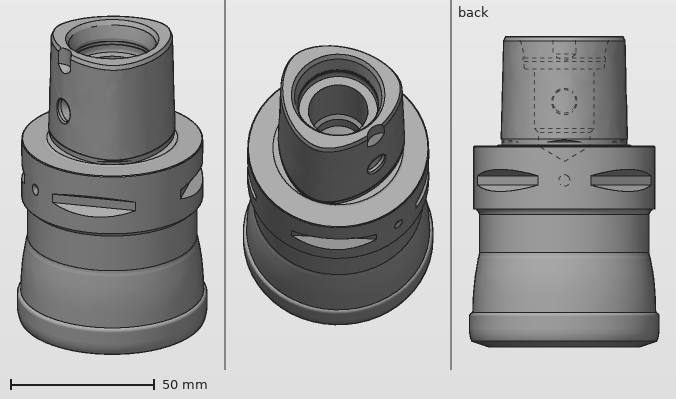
import cadquery as cq
import math


shank_top = 38.0
shank_bottom = 2.4
shank_mean_radius = 22.0
lobe_height = 1.4
shank_taper = 1 / 40
lobe_angle = math.radians(90)
outline_points = 36
rim_height = 1.5
rim_inset = 0.7

neck_inset = 0.25
neck_lobe_radius = 22.45
neck_lobe_top = 1.3
neck_flare_height = 0.7
step_height = 0.4
step_top_radius = 22.7
step_base_radius = 24.3
step_mid_radius = 23.2
step_mid_z = 0.1

flange_radius = 31.5
flange_edge_chamfer = 0.3
flange_bottom = -22.0
body_radius = 59 / 2
body_fillet_radius = 30.7
body_fillet_mid_radius = 29.9
body_fillet_bottom = -23.8
body_bottom = -37.1

slot_z = -12.0
slot_count = 4
slot_floor_radius = 27.8
slot_floor_height = 3.2
slot_mouth_height = 7.7
dimple_diameter = 4.0
dimple_depth = 1.2

bore_mouth_radius = 16.25
bore_mouth_depth = 1.6
bore_top_radius = 15.2
seat_radius = 28.02 / 2
seat_top = 31.8
groove_radius = 14.4
groove_top = 30.6
groove_bottom = 29.4
seat_fillet_top = 28.3
seat_bottom_radius = 13.7
seat_floor = 26.7
seat_mid_radius = 13.95
seat_mid_z = 27.3
channel_radius = 10.3
channel_bottom = 6.0
tip_radius = 18 / 2
tip_top = channel_bottom - (channel_radius - tip_radius)
tip_bottom = 0.0
drill_point_angle = math.radians(118)

side_hole_z = 15.5
side_hole_radius = 8.1 / 2
side_hole_mouth = 0.6
side_hole_end = -18.5
notch_radius = 5.0
notch_center_y = -22.6
notch_floor = 31.9
notch_cone_slope = 0.9

nut_lip_radius = 29.65
nut_lip_bottom = -38.15
nut_flare_radius = 29.95
nut_flare_top = -39.2
nut_waist_radius = 63.72 / 2
collar_top = -57.9
collar_radius = 66 / 2
collar_shoulder_mid_radius = 32.6
collar_shoulder_mid_z = -58.3
collar_shoulder_bottom = -59.2
collar_straight_end = -64.0
collar_corner_radius = 32.2
collar_corner_z = -67.9
nose_radius = 26.0
nut_bottom = -70.0


def lobed_wire(mean_radius, z):
    """Closed outline of constant width whose distance from the axis varies with three lobes."""
    def point(turn):
        phase = 3 * (turn - lobe_angle)
        reach = mean_radius + lobe_height * math.cos(phase)
        slide = -3 * lobe_height * math.sin(phase)
        return (
            reach * math.cos(turn) - slide * math.sin(turn),
            reach * math.sin(turn) + slide * math.cos(turn),
            z,
        )

    step = 2 * math.pi / outline_points
    points = [cq.Vector(*point(step * index)) for index in range(outline_points)]
    return cq.Wire.assembleEdges([cq.Edge.makeSpline(points, periodic=True)])


def lobed_frustum(low_radius, low_z, high_radius, high_z):
    wires = [lobed_wire(low_radius, low_z), lobed_wire(high_radius, high_z)]
    return cq.Workplane(cq.Solid.makeLoft(wires, True))


def drill_point_length(radius):
    return radius / math.tan(drill_point_angle / 2)


def turned(profile):
    """Revolve an outline about its sketch's vertical axis: Z for XZ sketches, Y for XY sketches."""
    return profile.close().revolve(360, (0, 0, 0), (0, 1, 0))


def make_shank():
    rim_z = shank_top - rim_height
    rim_mean_radius = shank_mean_radius - shank_taper * (rim_z - shank_bottom)
    taper = lobed_frustum(shank_mean_radius, shank_bottom, rim_mean_radius, rim_z)
    rim = lobed_frustum(rim_mean_radius, rim_z, rim_mean_radius - rim_inset, shank_top)
    return taper.union(rim)


def make_neck():
    neck_radius = shank_mean_radius - neck_inset
    neck = lobed_frustum(neck_radius, 0, neck_radius, shank_bottom)
    flare_radius = neck_lobe_radius + neck_flare_height
    flare_top = neck_lobe_top + neck_flare_height
    lobe_relief = (
        cq.Workplane("XZ")
        .moveTo(neck_lobe_radius, 0)
        .lineTo(neck_lobe_radius, neck_lobe_top)
        .lineTo(flare_radius, flare_top)
        .lineTo(flange_radius, flare_top)
        .lineTo(flange_radius, 0)
    )
    return neck.cut(turned(lobe_relief))


def make_flange_and_body():
    outline = (
        cq.Workplane("XZ")
        .moveTo(0, step_height)
        .lineTo(step_top_radius, step_height)
        .threePointArc((step_mid_radius, step_mid_z), (step_base_radius, 0))
        .lineTo(flange_radius - flange_edge_chamfer, 0)
        .lineTo(flange_radius, -flange_edge_chamfer)
        .lineTo(flange_radius, flange_bottom)
        .lineTo(body_fillet_radius, flange_bottom)
        .threePointArc(
            (body_fillet_mid_radius, (flange_bottom + body_fillet_bottom) / 2),
            (body_radius, body_fillet_bottom),
        )
        .lineTo(body_radius, body_bottom)
        .lineTo(0, body_bottom)
    )
    return turned(outline)


def make_bore():
    outline = (
        cq.Workplane("XZ")
        .moveTo(0, shank_top)
        .lineTo(bore_mouth_radius, shank_top)
        .lineTo(bore_top_radius, shank_top - bore_mouth_depth)
        .lineTo(seat_radius, seat_top)
        .lineTo(seat_radius, groove_top)
        .lineTo(groove_radius, groove_top)
        .lineTo(groove_radius, groove_bottom)
        .lineTo(seat_radius, groove_bottom)
        .lineTo(seat_radius, seat_fillet_top)
        .threePointArc((seat_mid_radius, seat_mid_z), (seat_bottom_radius, seat_floor))
        .lineTo(channel_radius, seat_floor)
        .lineTo(channel_radius, channel_bottom)
        .lineTo(tip_radius, tip_top)
        .lineTo(tip_radius, tip_bottom)
        .lineTo(0, tip_bottom - drill_point_length(tip_radius))
    )
    return turned(outline)


def make_gripper_slots():
    """V-sided slots round the flange, halfway between the X and Y axes."""
    mouth_widening = (slot_mouth_height - slot_floor_height) / 2
    outer_radius = slot_floor_radius + 2 * (flange_radius - slot_floor_radius)
    floor_half = slot_floor_height / 2
    outer_half = floor_half + 2 * mouth_widening
    slot = (
        cq.Workplane("XZ")
        .moveTo(slot_floor_radius, slot_z - floor_half)
        .lineTo(outer_radius, slot_z - outer_half)
        .lineTo(outer_radius, slot_z + outer_half)
        .lineTo(slot_floor_radius, slot_z + floor_half)
        .close()
        .extrude(flange_radius, both=True)
    )
    spacing = 360 / slot_count
    slots = cq.Workplane("XY")
    for index in range(slot_count):
        slots = slots.add(slot.rotate((0, 0, 0), (0, 0, 1), spacing * (index + 0.5)))
    return slots


def make_dimple():
    center = cq.Vector(0, -flange_radius, slot_z)
    cone = cq.Solid.makeCone(dimple_diameter / 2, 0, dimple_depth, center, cq.Vector(0, 1, 0))
    return cq.Workplane(cone)


def make_side_hole():
    """Blind drilled hole in the flat -Y side, countersunk where it meets the taper."""
    surface_radius = shank_mean_radius - lobe_height - shank_taper * (side_hole_z - shank_bottom)
    mouth_radius = side_hole_radius + side_hole_mouth
    hole = (
        cq.Workplane("XY")
        .moveTo(0, -flange_radius)
        .lineTo(mouth_radius, -flange_radius)
        .lineTo(mouth_radius, -surface_radius)
        .lineTo(side_hole_radius, side_hole_mouth - surface_radius)
        .lineTo(side_hole_radius, side_hole_end)
        .lineTo(0, side_hole_end + drill_point_length(side_hole_radius))
    )
    return turned(hole).translate((0, 0, side_hole_z))


def make_key_notch():
    """Upright round notch in the rim with a conical floor."""
    outline = (
        cq.Workplane("XZ")
        .moveTo(0, shank_top)
        .lineTo(notch_radius, shank_top)
        .lineTo(notch_radius, notch_floor)
        .lineTo(0, notch_floor - notch_cone_slope * notch_radius)
    )
    return turned(outline).translate((0, notch_center_y, 0))


def make_holder():
    holder = make_flange_and_body().union(make_neck()).union(make_shank())
    holder = holder.cut(make_bore()).cut(make_side_hole()).cut(make_key_notch()).cut(make_dimple())
    for slot in make_gripper_slots().vals():
        holder = holder.cut(cq.Workplane(slot))
    return holder


def make_nut():
    flare_width = nut_waist_radius - nut_flare_radius
    flare_height = nut_flare_top - collar_top
    flare_arc_radius = (flare_width**2 + flare_height**2) / (2 * flare_width)
    flare_mid_angle = math.asin(flare_height / flare_arc_radius) / 2
    flare_mid_radius = nut_waist_radius - flare_arc_radius * (1 - math.cos(flare_mid_angle))
    flare_mid_z = collar_top + flare_arc_radius * math.sin(flare_mid_angle)
    outline = (
        cq.Workplane("XZ")
        .moveTo(0, body_bottom)
        .lineTo(body_radius, body_bottom)
        .lineTo(nut_lip_radius, nut_lip_bottom)
        .lineTo(nut_flare_radius, nut_flare_top)
        .threePointArc((flare_mid_radius, flare_mid_z), (nut_waist_radius, collar_top))
        .threePointArc(
            (collar_shoulder_mid_radius, collar_shoulder_mid_z),
            (collar_radius, collar_shoulder_bottom),
        )
        .lineTo(collar_radius, collar_straight_end)
        .tangentArcPoint((collar_corner_radius, collar_corner_z), relative=False)
        .lineTo(nose_radius, nut_bottom)
        .lineTo(0, nut_bottom)
    )
    return turned(outline)


holder = make_holder()
nut = make_nut()
result = cq.Compound.makeCompound([holder.val(), nut.val()])